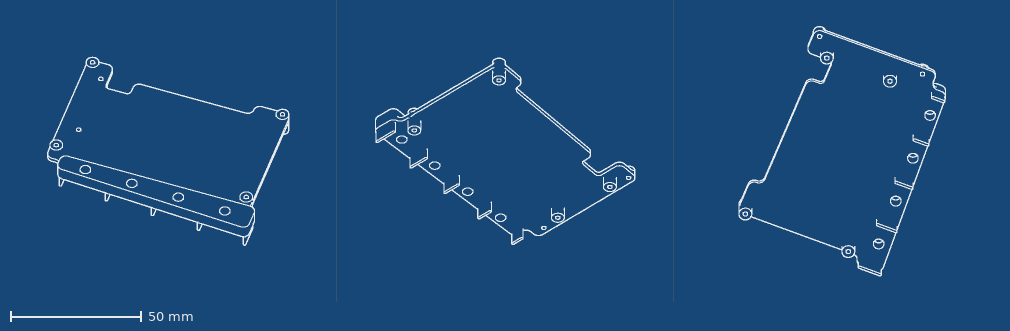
import cadquery as cq
import math

overall_x = 85.5
overall_y = 60.8
overall_z = 11.5

plate_width = 82.1
plate_depth = 50.1
plate_thickness = 2.0
back_recess = 5.0
recess_right = 68.0
notch_left = 10.4
notch_right = 20.6
notch_depth = 11.0
notch_radius = 1.5
tab_radius = back_recess / 2

bar_left = 6.5
bar_height = 6.0
bar_radius = 2.5
bar_taper = 3.0
blend_radius = 2.5
bar_hole_diameter = 4.0
bar_hole_count = 4
bar_hole_first = (17.4, -3.9)
bar_hole_last = (74.55, -5.4)

rib_count = bar_hole_count + 1
rib_thickness = 1.0
rib_back_inset = 0.8
rib_front_inset = 0.5

post_radius = 2.5
post_hole_diameter = 1.7
post_top = 4.0
inner_post_x = 7.6
inner_post_from_back = (7.5, 33.6)
front_post_y = 5.1

leg_length = overall_z - bar_height
base_fillet = 0.5

blank_margin = 8.55
coincident = 8.55e-07

pitch = (bar_hole_last[0] - bar_hole_first[0]) / (bar_hole_count - 1)
bar_hole_drop = (bar_hole_first[1] - bar_hole_last[1]) / (bar_hole_count - 1)
bar_front = plate_depth - overall_y
left_post_x = post_radius
right_post_x = plate_width - post_radius
back_post_y = plate_depth - post_radius
left_posts = [(left_post_x, y) for y in (front_post_y, back_post_y)]
right_posts = [(right_post_x, y) for y in (front_post_y, back_post_y)]
inner_posts = [(inner_post_x, plate_depth - d) for d in inner_post_from_back]


def rounded_outline(corners):
    """Closed wire through (x, y, radius) corners, each rounded by a tangent arc."""
    path = None
    end = None
    for i, (x, y, radius) in enumerate(corners):
        corner = cq.Vector(x, y)
        to_previous = (cq.Vector(*corners[i - 1][:2]) - corner).normalized()
        to_next = (cq.Vector(*corners[(i + 1) % len(corners)][:2]) - corner).normalized()
        half_angle = to_previous.getAngle(to_next) / 2
        setback = radius / math.tan(half_angle)
        start = corner + to_previous * setback
        if path is None:
            path = cq.Workplane().moveTo(start.x, start.y)
        elif (start - end).Length > coincident:
            path = path.lineTo(start.x, start.y)
        end = corner + to_next * setback
        bisector = (to_previous + to_next).normalized()
        middle = corner + bisector * (radius / math.sin(half_angle) - radius)
        path = path.threePointArc((middle.x, middle.y), (end.x, end.y))
    return path.close()


def bar_front_y(x):
    """Y of the tapered front face of the bar, before its corners are rounded."""
    slope = math.radians(bar_taper)
    corner_x = overall_x - bar_radius
    corner_y = bar_front + bar_radius - bar_radius / math.cos(slope)
    return corner_y + (corner_x - x) * math.tan(slope)


def bar_outline():
    """Bar with a straight back, a tapered front and four rounded corners."""
    return rounded_outline([
        (bar_left, 0, bar_radius),
        (overall_x, 0, bar_radius),
        (overall_x, bar_front_y(overall_x), bar_radius),
        (bar_left, bar_front_y(bar_left), bar_radius),
    ])


def part_outline():
    """Outer edge of the plate and the bar together."""
    corner_x = overall_x - bar_radius
    lean = math.asin((plate_width + blend_radius - corner_x) / (blend_radius + bar_radius))
    touch_x = corner_x + bar_radius * math.sin(lean)
    touch_y = bar_radius * math.cos(lean) - bar_radius
    blend_y = touch_y + (touch_x - plate_width) * math.tan(lean)
    corner_y = touch_y - (overall_x - touch_x) * math.tan(lean)
    return rounded_outline([
        (0, plate_depth, post_radius),
        (notch_left, plate_depth, tab_radius),
        (notch_left, plate_depth - notch_depth, notch_radius),
        (notch_right, plate_depth - notch_depth, notch_radius),
        (notch_right, plate_depth - back_recess, tab_radius),
        (recess_right, plate_depth - back_recess, tab_radius),
        (recess_right, plate_depth, tab_radius),
        (plate_width, plate_depth, post_radius),
        (plate_width, blend_y, blend_radius),
        (overall_x, corner_y, bar_radius),
        (overall_x, bar_front_y(overall_x), bar_radius),
        (bar_left, bar_front_y(bar_left), bar_radius),
        (bar_left, 0, blend_radius),
        (0, 0, post_radius),
    ])


def upper_features():
    """Bar and the four corner posts."""
    posts = cq.Workplane().pushPoints(left_posts + right_posts).circle(post_radius).extrude(post_top)
    return posts.union(bar_outline().extrude(bar_height))


def lower_features():
    """Legs and ribs hanging from the underside."""
    features = cq.Workplane().pushPoints(inner_posts + right_posts).circle(post_radius).extrude(-leg_length)
    for i in range(rib_count):
        x = bar_hole_first[0] - pitch / 2 + i * pitch
        back = -rib_back_inset
        front = bar_front_y(x) + rib_front_inset
        rib = (
            cq.Workplane()
            .center(x, (back + front) / 2)
            .slot2D(back - front, rib_thickness, 90)
            .extrude(-leg_length)
        )
        features = features.union(rib)
    return features


def foot_edges(z):
    """Selects the edges at height z that lie inside the blank's outer border."""
    half_border = blank_margin / 2
    return cq.selectors.BoxSelector(
        (-half_border, bar_front - half_border, z - base_fillet / 2),
        (overall_x + half_border, plate_depth + half_border, z + base_fillet / 2),
        boundingbox=True,
    )


blank = (
    cq.Workplane()
    .box(overall_x + 2 * blank_margin, overall_y + 2 * blank_margin, plate_thickness, centered=False)
    .translate((-blank_margin, bar_front - blank_margin, 0))
)
body = blank.union(upper_features()).union(lower_features())
body = body.edges(foot_edges(plate_thickness)).fillet(base_fillet)
body = body.edges(foot_edges(0)).fillet(base_fillet)

envelope = part_outline().extrude(overall_z).translate((0, 0, -leg_length))
body = body.intersect(envelope)

post_holes = (
    cq.Workplane()
    .pushPoints(left_posts + right_posts + inner_posts)
    .circle(post_hole_diameter / 2)
    .extrude(overall_z)
)
bar_holes = (
    cq.Workplane()
    .pushPoints([
        (bar_hole_first[0] + i * pitch, bar_hole_first[1] - i * bar_hole_drop)
        for i in range(bar_hole_count)
    ])
    .circle(bar_hole_diameter / 2)
    .extrude(overall_z)
)
result = body.cut(post_holes.union(bar_holes).translate((0, 0, -leg_length)))